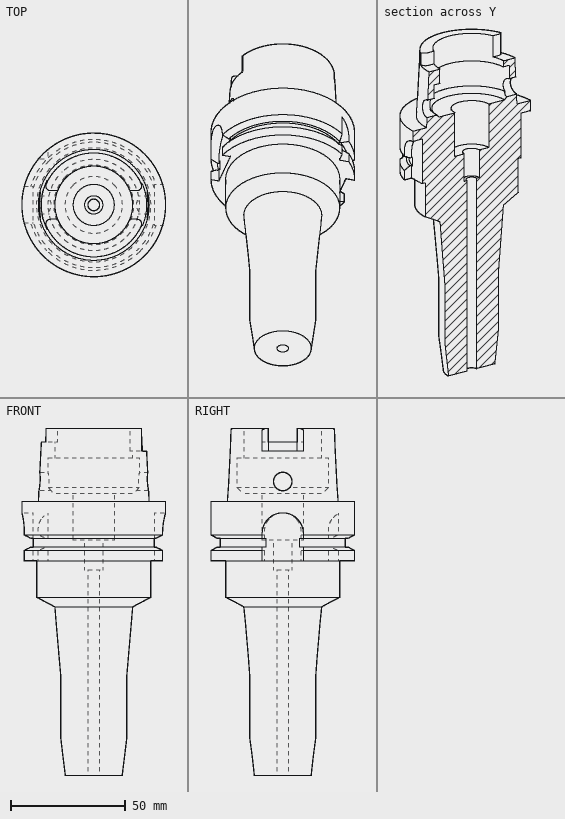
import cadquery as cq
import math


shank_length = 32.0
shank_base_radius = 24.3
taper_ratio = 9.98
shank_top_radius = shank_base_radius - shank_length / taper_ratio / 2
shank_rim_fillet = 1.0

flange_radius = 31.5
flange_bottom = -26.0
groove_radius = 27.5
groove_center = -18.1
groove_floor_width = 3.75
groove_chamfer_radius = 28.7
groove_mouth_width = 6.8

collar_radius = 25.0
collar_bottom = -42.0
neck_top = -46.2
neck_top_radius = 17.1
nose_top = -76.5
nose_radius = 14.5
tip_top = -103.7
tip_bottom = -120.0
tip_radius = 12.5

mouth_radius = 17.0
mouth_depth = 13.0
clamp_radius = 20.0
clamp_floor = 3.5
clamp_floor_chamfer = 2.5
tube_thread_radius = 9.0
tube_thread_floor = -17.0
step_bore_radius = 4.0
step_bore_floor = -30.0
coolant_radius = 2.5

drive_slot_width = 12.54
drive_slot_depth_left = 6.0
drive_slot_depth_right = 10.0
drive_slot_corner_radius = 2.0

cross_hole_diameter = 8.0
cross_hole_height = 8.7

keyway_floor = 26.5
keyway_width_left = 16.0
keyway_width_right = 18.0
keyway_top = -5.0

notch_floor = 20.0
notch_wall = 20.0
notch_corner_radius = 8.0
notch_arc_center = -12.5

clearance = 1.0


def turned_body():
    groove_top = groove_center + groove_floor_width / 2
    groove_bottom = groove_center - groove_floor_width / 2
    mouth_top = groove_center + groove_mouth_width / 2
    mouth_bottom = groove_center - groove_mouth_width / 2
    outline = [
        (0, shank_length),
        (shank_top_radius, shank_length),
        (shank_base_radius, 0),
        (flange_radius, 0),
        (flange_radius, mouth_top),
        (groove_chamfer_radius, groove_top),
        (groove_radius, groove_top),
        (groove_radius, groove_bottom),
        (groove_chamfer_radius, groove_bottom),
        (flange_radius, mouth_bottom),
        (flange_radius, flange_bottom),
        (collar_radius, flange_bottom),
        (collar_radius, collar_bottom),
        (neck_top_radius, neck_top),
        (nose_radius, nose_top),
        (nose_radius, tip_top),
        (tip_radius, tip_bottom),
        (0, tip_bottom),
    ]
    body = cq.Workplane("XZ").polyline(outline).close().revolve(360, (0, 0, 0), (0, 1, 0))
    return body.faces(">Z").edges().fillet(shank_rim_fillet)


def bore(radius, bottom, top):
    return cq.Workplane("XY").workplane(offset=bottom).circle(radius).extrude(top - bottom)


def all_bores():
    mouth_floor = shank_length - mouth_depth
    cutter = bore(mouth_radius, mouth_floor, shank_length)
    clamp_bore = bore(clamp_radius, clamp_floor, mouth_floor)
    clamp_bore = clamp_bore.faces("<Z").chamfer(clamp_floor_chamfer)
    cutter = cutter.union(clamp_bore)
    cutter = cutter.union(bore(tube_thread_radius, tube_thread_floor, clamp_floor))
    cutter = cutter.union(bore(step_bore_radius, step_bore_floor, tube_thread_floor))
    return cutter.union(bore(coolant_radius, tip_bottom, step_bore_floor))


def drive_slot(side, depth):
    """Slot out through the shank wall with rounded mouth corners; side is -1 for -X and +1 for +X."""
    half_width = drive_slot_width / 2
    radius = drive_slot_corner_radius
    center_y = half_width + radius
    center_x = math.sqrt((shank_top_radius - radius) ** 2 - center_y ** 2)
    outer_angle = math.atan2(center_y, center_x)
    middle_angle = (outer_angle - math.pi / 2) / 2
    middle = (center_x + radius * math.cos(middle_angle), center_y + radius * math.sin(middle_angle))
    mouth = (shank_top_radius * math.cos(outer_angle), shank_top_radius * math.sin(outer_angle))
    reach = shank_base_radius + clearance
    plan = (
        cq.Workplane("XY", origin=(0, 0, shank_length - depth))
        .moveTo(0, half_width)
        .lineTo(side * center_x, half_width)
        .threePointArc((side * middle[0], middle[1]), (side * mouth[0], mouth[1]))
        .lineTo(side * reach, mouth[1])
        .lineTo(side * reach, -mouth[1])
        .lineTo(side * mouth[0], -mouth[1])
        .threePointArc((side * middle[0], -middle[1]), (side * center_x, -half_width))
        .lineTo(0, -half_width)
        .close()
    )
    return plan.extrude(depth)


def cross_hole():
    length = 2 * (shank_base_radius + clearance)
    hole = cq.Workplane("YZ").center(0, cross_hole_height).circle(cross_hole_diameter / 2)
    return hole.extrude(length / 2, both=True)


def keyway(side, width):
    """Round-topped keyway, open at the flange bottom; side is -1 for -X and +1 for +X."""
    radius = width / 2
    bottom = flange_bottom - clearance
    arc_center = keyway_top - radius
    profile = (
        cq.Workplane("YZ", origin=(side * keyway_floor, 0, 0))
        .moveTo(-radius, bottom)
        .lineTo(-radius, arc_center)
        .threePointArc((0, keyway_top), (radius, arc_center))
        .lineTo(radius, bottom)
        .close()
    )
    return profile.extrude(side * (flange_radius - keyway_floor + clearance))


def orientation_notch():
    """Corner cut with a quarter-round top, open at the flange bottom."""
    bottom = flange_bottom - clearance
    arc_end = notch_wall + notch_corner_radius
    arc_offset = notch_corner_radius * math.sqrt(0.5)
    profile = (
        cq.Workplane("YZ", origin=(-notch_floor, 0, 0))
        .moveTo(notch_wall, bottom)
        .lineTo(notch_wall, notch_arc_center)
        .threePointArc(
            (arc_end - arc_offset, notch_arc_center + arc_offset),
            (arc_end, notch_arc_center + notch_corner_radius),
        )
        .lineTo(arc_end, bottom)
        .close()
    )
    return profile.extrude(-(flange_radius - notch_floor + clearance))


body = turned_body().cut(all_bores())
body = body.cut(drive_slot(-1, drive_slot_depth_left))
body = body.cut(drive_slot(1, drive_slot_depth_right))
body = body.cut(cross_hole())
body = body.cut(keyway(-1, keyway_width_left))
body = body.cut(keyway(1, keyway_width_right))
result = body.cut(orientation_notch())